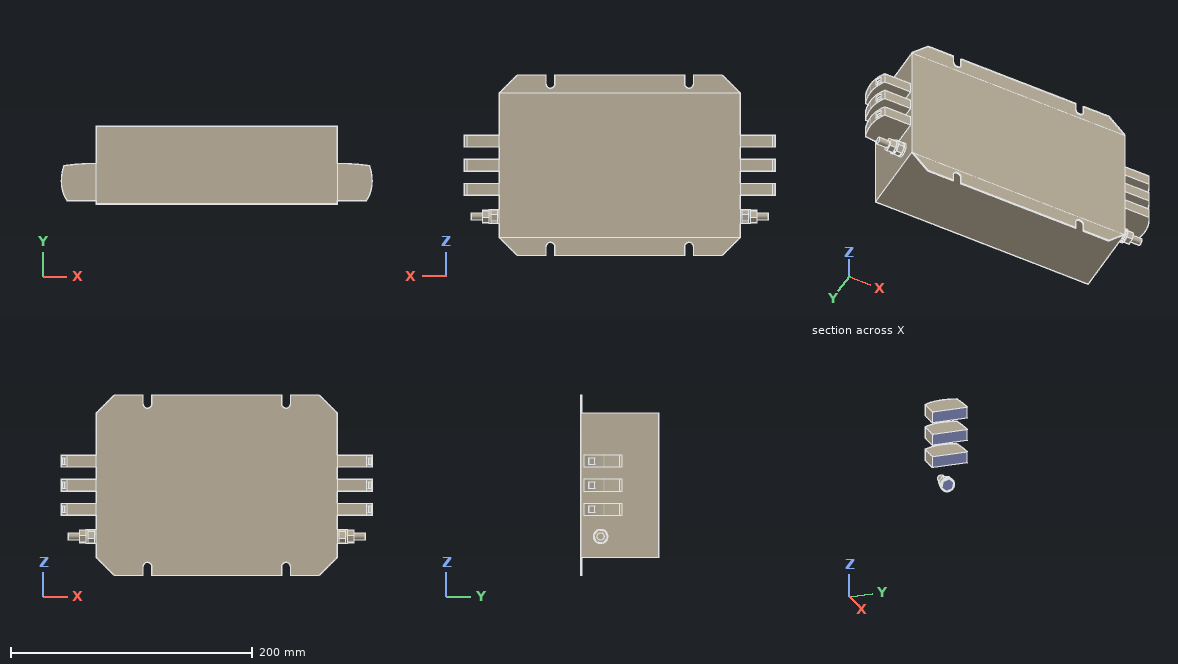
import cadquery as cq
import math

housing_length = 200.0
housing_height = 120.0
overall_depth = 65.05
plate_height = 150.0
plate_thickness = 1.0
corner_cut = (plate_height - housing_height) / 2

slot_spacing = 115.0
slot_width = 7.0
slot_depth = 11.0

overall_length = 258.06
terminal_pitch = 20.0
terminal_count = 3
terminal_thickness = 10.0
terminal_front = 3.0
terminal_back = 34.2
nose_front_radius = 30.0
nose_back_radius = 40.0
nose_tip_y = 19.35
nose_corner_y = 32.3

window_size = 5.6
window_depth = 2.0
window_center_y = 9.0

stud_y = 16.7
stud_z = -42.5
stud_diameter = 6.0
stud_reach = 23.3
nut_across_flats = 10.0
washer_diameter = 12.0
base_washer_thickness = 1.5
inner_nut_height = 5.4
lock_washer_thickness = 1.6
outer_nut_height = 5.4
inner_nut_turn = -17.0
outer_nut_turn = 9.0


def make_housing():
    return (
        cq.Workplane("XY")
        .box(housing_length, overall_depth, housing_height, centered=(True, False, True))
    )


def make_plate():
    plate = (
        cq.Workplane("XY")
        .box(housing_length, plate_thickness, plate_height, centered=(True, False, True))
        .edges("|Y")
        .chamfer(corner_cut)
    )
    slot_length = 2 * slot_depth
    for x in (-slot_spacing / 2, slot_spacing / 2):
        for z in (-plate_height / 2, plate_height / 2):
            slot = (
                cq.Workplane("XZ", origin=(x, 0, z))
                .slot2D(slot_length, slot_width, 90)
                .extrude(-plate_thickness)
            )
            plate = plate.cut(slot)
    return plate


def nose_x(y):
    """X of the nose surface at height y; its two arcs are tangent at the tip."""
    radius = nose_front_radius if y < nose_tip_y else nose_back_radius
    return overall_length / 2 - radius + math.sqrt(radius**2 - (y - nose_tip_y) ** 2)


def nose_point(y):
    return (nose_x(y), y)


def crown_y(x):
    """Y of the crowned back of a terminal, which leaves the housing square to it."""
    run = x - housing_length / 2
    corner_run = nose_x(nose_corner_y) - housing_length / 2
    corner_drop = terminal_back - nose_corner_y
    crown_radius = (corner_run**2 + corner_drop**2) / (2 * corner_drop)
    return terminal_back - crown_radius + math.sqrt(crown_radius**2 - run**2)


def make_terminal(z):
    root_x = housing_length / 2
    corner_x = nose_x(nose_corner_y)
    crown_mid_x = (root_x + corner_x) / 2
    block = (
        cq.Workplane("XY", origin=(0, 0, z - terminal_thickness / 2))
        .moveTo(root_x, terminal_front)
        .lineTo(*nose_point(terminal_front))
        .threePointArc(nose_point((terminal_front + nose_tip_y) / 2), nose_point(nose_tip_y))
        .threePointArc(nose_point((nose_tip_y + nose_corner_y) / 2), nose_point(nose_corner_y))
        .threePointArc((crown_mid_x, crown_y(crown_mid_x)), (root_x, terminal_back))
        .close()
        .extrude(terminal_thickness)
    )
    window_x = nose_x(window_center_y)
    tilt = math.degrees(math.asin((window_center_y - nose_tip_y) / nose_front_radius))
    window = (
        cq.Workplane("XY")
        .box(2 * window_depth, window_size, window_size)
        .rotate((0, 0, 0), (0, 0, 1), tilt)
        .translate((window_x, window_center_y, z))
    )
    return block.cut(window)


def make_hex_nut(height, turn):
    """Hex nut along +X, with one corner turned from the -Y direction towards +Z."""
    across_corners = nut_across_flats / math.cos(math.pi / 6)
    return (
        cq.Workplane("YZ")
        .polygon(6, across_corners)
        .extrude(height)
        .rotate((0, 0, 0), (1, 0, 0), -turn)
    )


def make_disc(diameter, length):
    return cq.Workplane("YZ").circle(diameter / 2).extrude(length)


def make_earth_stud():
    inner_nut_x = base_washer_thickness
    lock_washer_x = inner_nut_x + inner_nut_height
    outer_nut_x = lock_washer_x + lock_washer_thickness
    stud = make_disc(stud_diameter, stud_reach)
    stud = stud.union(make_disc(washer_diameter, base_washer_thickness))
    stud = stud.union(make_hex_nut(inner_nut_height, inner_nut_turn).translate((inner_nut_x, 0, 0)))
    stud = stud.union(make_disc(washer_diameter, lock_washer_thickness).translate((lock_washer_x, 0, 0)))
    stud = stud.union(make_hex_nut(outer_nut_height, outer_nut_turn).translate((outer_nut_x, 0, 0)))
    return stud.translate((housing_length / 2, stud_y, stud_z))


def make_end_fittings():
    """Everything mounted on the +X end of the housing."""
    fittings = make_earth_stud()
    for index in range(terminal_count):
        z = (index - (terminal_count - 1) / 2) * terminal_pitch
        fittings = fittings.union(make_terminal(z))
    return fittings


end_fittings = make_end_fittings()
result = (
    make_housing()
    .union(make_plate())
    .union(end_fittings)
    .union(end_fittings.mirror("YZ"))
)